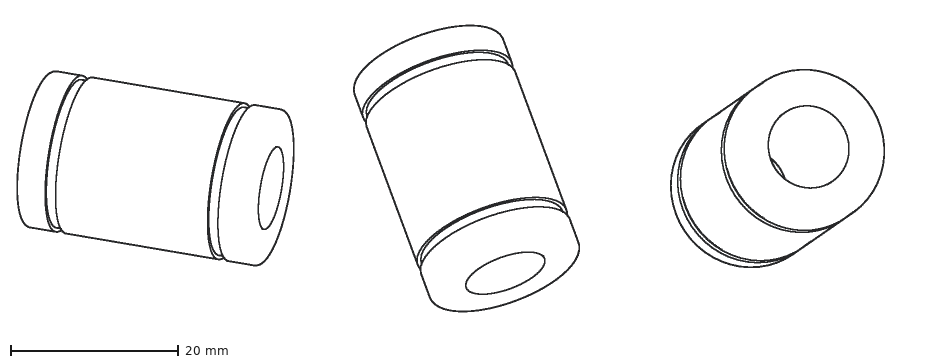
import cadquery as cq

length = 29.0
outer_diameter = 19.0
bore_diameter = 10.0
groove_diameter = 18.0
groove_width = 1.3
groove_span = 21.7
edge_radius = 0.5


def cylinder(diameter, width, center_x=0.0):
    """Solid cylinder along X, centred at center_x."""
    start = center_x - width / 2
    return cq.Workplane("YZ").workplane(offset=start).circle(diameter / 2).extrude(width)


def groove_ring(center_x):
    """Ring of material removed to form one retaining-ring groove."""
    return cylinder(outer_diameter, groove_width, center_x).cut(
        cylinder(groove_diameter, groove_width, center_x)
    )


result = cylinder(outer_diameter, length).edges("%CIRCLE").fillet(edge_radius)

result = result.cut(cylinder(bore_diameter, length))

groove_center = (groove_span - groove_width) / 2
for side in (-1, 1):
    result = result.cut(groove_ring(side * groove_center))